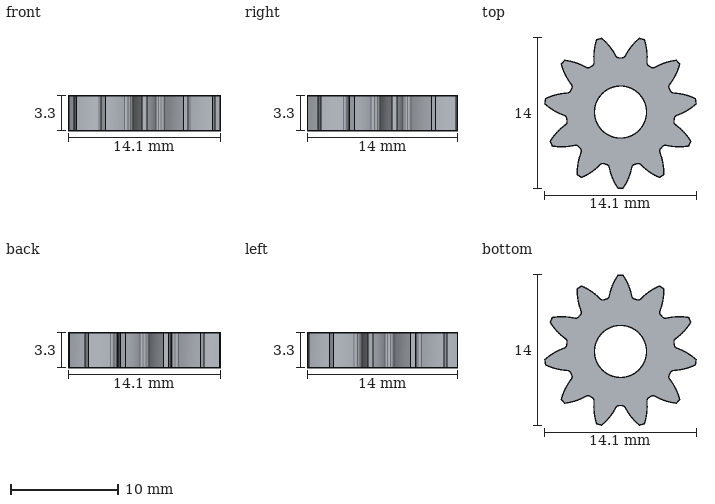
import cadquery as cq
import math

TOOTH_COUNT = 11
THICKNESS = 3.3
BORE_DIAMETER = 4.84
TIP_RADIUS = 7.115
ROOT_RADIUS = 5.07
ROOT_FILLET = 0.33

FLANK_RADIUS = 5.288
FLANK_CENTER_ALONG = 4.138
FLANK_CENTER_ASIDE = 4.122

FIRST_TOOTH_ANGLE = -math.pi / 2
TOOTH_PITCH = 2 * math.pi / TOOTH_COUNT
MID_FLANK_RADIUS = (TIP_RADIUS + ROOT_RADIUS) / 2


def polar(radius, angle):
    return (radius * math.cos(angle), radius * math.sin(angle))


def tooth_half_angle(radius):
    """Angle between the tooth axis and its flank at a given radius from the bore axis."""
    center_distance = math.hypot(FLANK_CENTER_ALONG, FLANK_CENTER_ASIDE)
    center_angle = math.atan2(FLANK_CENTER_ASIDE, FLANK_CENTER_ALONG)
    cosine = (radius**2 + center_distance**2 - FLANK_RADIUS**2) / (2 * radius * center_distance)
    return math.acos(cosine) - center_angle


def gear_outline():
    """Closed outline of flank, tip, flank and root arcs, tooth after tooth."""
    root_half = tooth_half_angle(ROOT_RADIUS)
    mid_half = tooth_half_angle(MID_FLANK_RADIUS)
    tip_half = tooth_half_angle(TIP_RADIUS)

    outline = cq.Workplane("XY").moveTo(*polar(ROOT_RADIUS, FIRST_TOOTH_ANGLE - root_half))
    for tooth in range(TOOTH_COUNT):
        axis = FIRST_TOOTH_ANGLE + tooth * TOOTH_PITCH
        next_axis = axis + TOOTH_PITCH
        outline = (
            outline
            .threePointArc(polar(MID_FLANK_RADIUS, axis - mid_half), polar(TIP_RADIUS, axis - tip_half))
            .threePointArc(polar(TIP_RADIUS, axis), polar(TIP_RADIUS, axis + tip_half))
            .threePointArc(polar(MID_FLANK_RADIUS, axis + mid_half), polar(ROOT_RADIUS, axis + root_half))
            .threePointArc(
                polar(ROOT_RADIUS, axis + TOOTH_PITCH / 2),
                polar(ROOT_RADIUS, next_axis - root_half),
            )
        )
    return outline.close()


def round_roots(gear):
    """Round the upright corners where the flanks meet the root circle."""
    root_corners = [
        edge for edge in gear.edges("|Z").vals()
        if math.hypot(edge.Center().x, edge.Center().y) < MID_FLANK_RADIUS
    ]
    return gear.newObject(root_corners).fillet(ROOT_FILLET)


def bore():
    return cq.Workplane("XY").circle(BORE_DIAMETER / 2).extrude(THICKNESS)


toothed_disc = round_roots(gear_outline().extrude(THICKNESS))
result = toothed_disc.cut(bore())